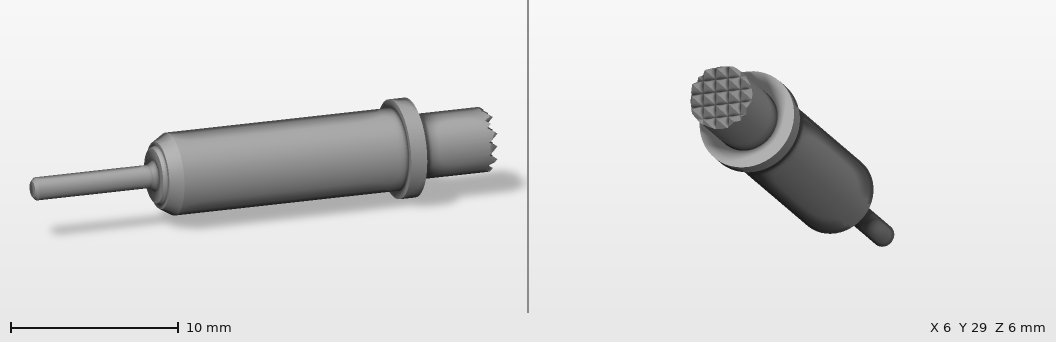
import cadquery as cq

total_length = 29
head_length = 5.0
head_diameter = 3.92
flange_length = 1.02
flange_diameter = 6.0
barrel_radius = 2.5
barrel_straight_length = 14.25
barrel_nose_length = 0.78
barrel_nose_radius = 2.03
head_radius = head_diameter / 2
flange_radius = flange_diameter / 2

insulator_length = 0.25
insulator_base_radius = 1.8
insulator_tip_radius = 1.65
neck_cone_length = 0.32
neck_cone_radius = 0.93
terminal_radius = 0.7
terminal_chamfer = 0.2

teeth_across = 5
tooth_tip_span = 3.2
tooth_pitch = tooth_tip_span / (teeth_across - 1)
tooth_depth = 0.65

head_tip = total_length / 2
terminal_tip = -total_length / 2
flange_front = head_tip - head_length
flange_back = flange_front - flange_length
nose_start = flange_back - barrel_straight_length
nose_end = nose_start - barrel_nose_length
insulator_end = nose_end - insulator_length
neck_end = insulator_end - neck_cone_length


def turned_body():
    """Revolve the (radius, y) half-profile about the Y axis."""
    profile = [
        (0, head_tip),
        (head_radius, head_tip),
        (head_radius, flange_front),
        (flange_radius, flange_front),
        (flange_radius, flange_back),
        (barrel_radius, flange_back),
        (barrel_radius, nose_start),
        (barrel_nose_radius, nose_end),
        (insulator_base_radius, nose_end),
        (insulator_tip_radius, insulator_end),
        (neck_cone_radius, insulator_end),
        (terminal_radius, neck_end),
        (terminal_radius, terminal_tip + terminal_chamfer),
        (terminal_radius - terminal_chamfer, terminal_tip),
        (0, terminal_tip),
    ]
    return cq.Workplane("XY").polyline(profile).close().revolve(360, (0, 0), (0, 1))


def tooth_grooves():
    """Parallel V grooves along Z whose crests meet at the tooth tips."""
    half_pitch = tooth_pitch / 2
    first_tip = -tooth_tip_span / 2
    left_edge = first_tip - tooth_pitch
    outline = [(left_edge, head_tip)]
    for i in range(teeth_across + 1):
        groove_center = first_tip - half_pitch + i * tooth_pitch
        outline.append((groove_center, head_tip - tooth_depth))
        outline.append((groove_center + half_pitch, head_tip))
    outline.append((-left_edge, head_tip + tooth_depth))
    outline.append((left_edge, head_tip + tooth_depth))
    return cq.Workplane("XY").polyline(outline).close().extrude(2 * head_radius, both=True)


grooves = tooth_grooves()
crossed_grooves = grooves.rotate((0, 0, 0), (0, 1, 0), 90)
result = turned_body().cut(grooves).cut(crossed_grooves)